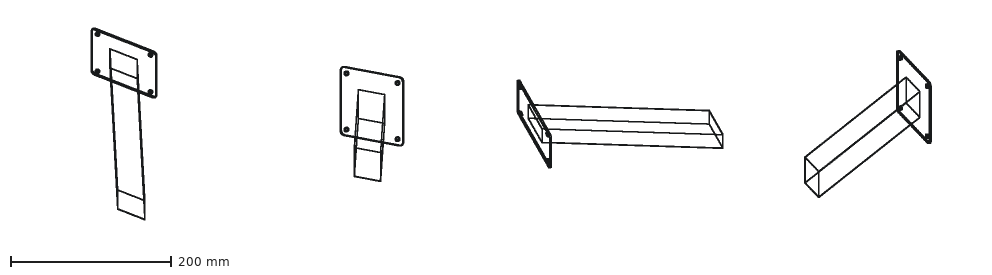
import cadquery as cq

plate_side = 90.0
plate_thickness = 2.5
corner_radius = 5.0
hole_diameter = 5.0
hole_inset = 8.0
hole_spacing = plate_side - 2 * hole_inset

arm_width = 38.0
total_depth = 200.0
total_width = 174.0
arm_tip_right = total_width - plate_side / 2
arm_shift = arm_tip_right - arm_width / 2


def make_plate():
    """Plate with rounded corners and a through hole near each corner."""
    plate = (
        cq.Workplane("XZ")
        .rect(plate_side, plate_side)
        .extrude(plate_thickness)
        .edges("|Y")
        .fillet(corner_radius)
    )
    holes = (
        cq.Workplane("XZ")
        .rect(hole_spacing, hole_spacing, forConstruction=True)
        .vertices()
        .circle(hole_diameter / 2)
        .extrude(plate_thickness)
    )
    return plate.cut(holes)


def make_arm():
    """Solid bar whose plan is a parallelogram from the plate face to the tip."""
    half = arm_width / 2
    outline = [
        (-half, -plate_thickness),
        (half, -plate_thickness),
        (arm_shift + half, -total_depth),
        (arm_shift - half, -total_depth),
    ]
    return cq.Workplane("XY").polyline(outline).close().extrude(half, both=True)


result = make_plate().union(make_arm())